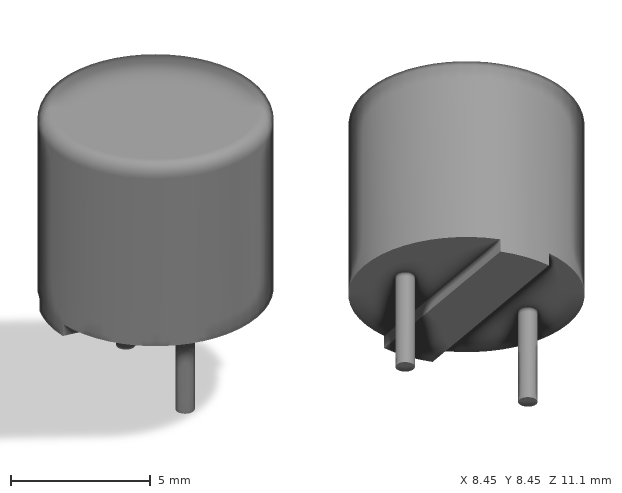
import cadquery as cq

total_height = 11.08
body_diameter = 8.45
body_height = 7.4
top_edge_radius = 0.5
standoff_width = 2.0
standoff_height = 0.5
pin_diameter = 0.7
pin_spacing = 5.09

pin_length = total_height - body_height


def make_body():
    """Cylindrical can, underside at Z = 0, with a rounded top edge."""
    can = cq.Workplane("XY").circle(body_diameter / 2).extrude(body_height)
    return can.faces(">Z").edges().fillet(top_edge_radius)


def make_standoff():
    """Bar across the full underside along Y, its ends following the can wall."""
    bar = cq.Workplane("XY").rect(standoff_width, body_diameter).extrude(-standoff_height)
    footprint = cq.Workplane("XY").circle(body_diameter / 2).extrude(-standoff_height)
    return bar.intersect(footprint)


def make_pins():
    """Two straight leads below the can, spaced along X."""
    centres = [(-pin_spacing / 2, 0), (pin_spacing / 2, 0)]
    return cq.Workplane("XY").pushPoints(centres).circle(pin_diameter / 2).extrude(-pin_length)


result = make_body().union(make_standoff()).union(make_pins())